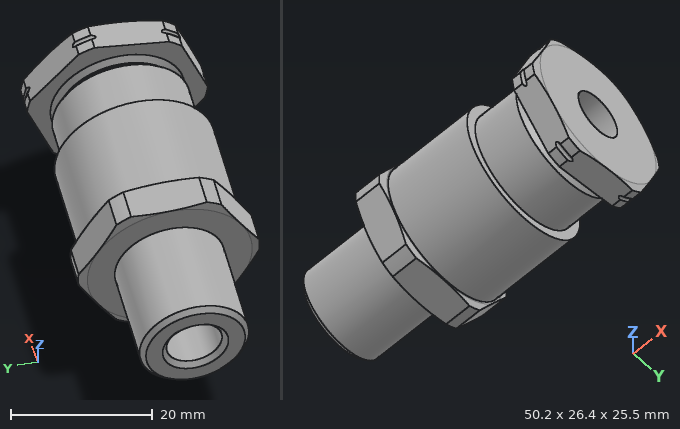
import cadquery as cq
import math

total_length = 50.2
collar_start = 15.3
collar_end = 20.6
body_end = 35.85
sleeve_end = 45.05
neck_end = 45.2
nut_start = 45.9

spigot_radius = 8.0
body_radius = 11.7
sleeve_radius = 10.05
neck_radius = 8.85
nut_cone_radius = 9.8
spigot_chamfer = 0.75
sleeve_chamfer = sleeve_radius - neck_radius

bore_radius = 4.04
bore_chamfer = 0.75

across_flats = 24.0
corner_radius = 13.2
hex_chamfer_length = 0.35
nut_turn = 10.0

groove_position = 47.85
groove_round = 0.375
groove_depth = 0.25


def revolve_about_x(profile):
    """Turn an X-radius profile a full circle around the X axis."""
    return profile.close().revolve(360, (0, 0, 0), (1, 0, 0))


def rounded_hexagon(start, end, turn, chamfer_start):
    """Hexagon with corners on Y before turning, trimmed by a turned envelope."""
    face_radius = across_flats / 2
    prism = (
        cq.Workplane("YZ", origin=(start, 0, 0))
        .polygon(6, across_flats / math.cos(math.pi / 6))
        .extrude(end - start)
        .rotate((0, 0, 0), (1, 0, 0), turn)
    )
    envelope = cq.Workplane("XY").moveTo(start, 0)
    if chamfer_start:
        envelope = envelope.lineTo(start, face_radius).lineTo(start + hex_chamfer_length, corner_radius)
    else:
        envelope = envelope.lineTo(start, corner_radius)
    envelope = (
        envelope.lineTo(end - hex_chamfer_length, corner_radius)
        .lineTo(end, face_radius)
        .lineTo(end, 0)
    )
    return prism.intersect(revolve_about_x(envelope))


def turned_core():
    """Spigot, body, sleeve, short neck and the cone that meets the nut."""
    profile = (
        cq.Workplane("XY")
        .lineTo(0, spigot_radius - spigot_chamfer)
        .lineTo(spigot_chamfer, spigot_radius)
        .lineTo(collar_end, spigot_radius)
        .lineTo(collar_end, body_radius)
        .lineTo(body_end, body_radius)
        .lineTo(body_end, sleeve_radius)
        .lineTo(sleeve_end - sleeve_chamfer, sleeve_radius)
        .lineTo(sleeve_end, neck_radius)
        .lineTo(neck_end, neck_radius)
        .lineTo(nut_start, nut_cone_radius)
        .lineTo(nut_start, 0)
    )
    return revolve_about_x(profile)


def corner_groove():
    """Ring that only reaches the corners of the nut."""
    ring_radius = corner_radius - groove_depth + groove_round
    return (
        cq.Workplane("XY")
        .center(groove_position, ring_radius)
        .circle(groove_round)
        .revolve(360, (0, -ring_radius, 0), (1, -ring_radius, 0))
    )


def bore():
    """Through hole including its countersink."""
    profile = (
        cq.Workplane("XY")
        .lineTo(0, bore_radius + bore_chamfer)
        .lineTo(bore_chamfer, bore_radius)
        .lineTo(total_length, bore_radius)
        .lineTo(total_length, 0)
    )
    return revolve_about_x(profile)


collar = rounded_hexagon(collar_start, collar_end, 0, chamfer_start=True)
nut = rounded_hexagon(nut_start, total_length, nut_turn, chamfer_start=False)
nut = nut.cut(corner_groove())

result = turned_core().union(collar).union(nut).cut(bore())